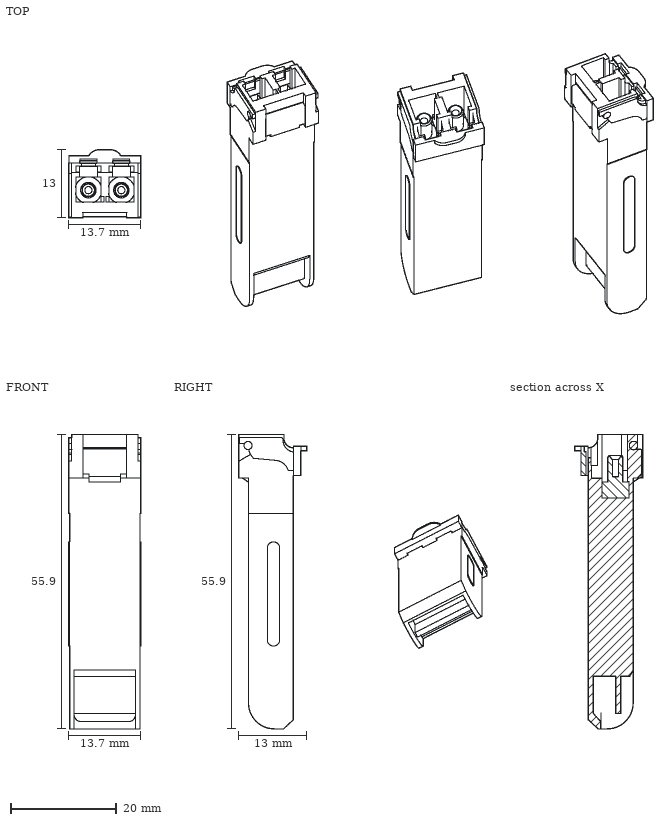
import cadquery as cq
import math


HEIGHT = 55.9
HEAD_WIDTH = 13.7
SHELL_WIDTH = 13.4
FRONT_Y = 1.83
BACK_Y = 10.38
HEAD_BOTTOM_Z = 47.6
NECK_BOTTOM_Z = 40.9
TOE_RADIUS = 4.95
HEEL_CHAMFER_Y = 1.88
HEEL_CHAMFER_Z = 1.75

SHOULDER_Y = 8.6
SHOULDER_START_Z = 55.15

PAD_WIDTH = 2.36
PAD_Y = 6.6
PAD_BOTTOM_Z = 15.75
PAD_TOP_Z = 35.5

PLUG_WIDTH = 11.7
PLUG_TOP_Z = 11.2
PLUG_SLOPE_END_Y = 2.5
PLUG_SLOPE_Z = 10.0
PLUG_FLOOR_Y = 4.2
PLUG_FLOOR_THICKNESS = 1.0
PLUG_FLOOR_END_Z = 2.9
CARD_WALL_Y = 8.0
CARD_BACK_Y = 9.4
CARD_LIP_Z = 1.45
CARD_STEP_Y = 9.0
CARD_STEP_Z = 2.48
CARD_LIP_TOP_Z = 3.0
CARD_LIP_CORNER = 1.1

POCKET_WIDTH = 8.3
POCKET_Y = 1.0
GAP_Y = 1.3
GAP_BOTTOM_Z = 53.1
GAP_TOP_Z = 53.36
PLATE_FRONT_Y = 0.2
PLATE_ROUND = 0.35
PLATE_SLOPE_TOP_Z = 48.4
TOOTH_WIDTH = 6.0
TOOTH_SLOPE_TOP_Z = 47.9
TOOTH_BOTTOM_Z = 46.85

PORT_PITCH = 6.25
PORT_SIZE = 4.75
PORT_Y = 5.35
PORT_DEPTH = 9.0
KEY_WIDTH = 0.55
KEY_HEIGHT = 1.1
KEY_FLOOR_Z = 49.0
CATCH_WIDTH = 3.4
CATCH_Y = 9.76
CATCH_FLOOR_Z = 47.6
EXIT_WIDTH = 2.65
EXIT_FLOOR_Z = 51.5
RELIEF_START_Y = 8.65
RELIEF_END_Y = 9.85
RELIEF_FLOOR_Z = 50.0

ARM_THICKNESS = 0.55
ARM_TOP_Z = 55.3
ARM_FRONT_Y = 0.17
ARM_HOOK_Z = 54.2
ARM_END_Z = 49.06
ARM_UPPER_BACK_Z = 52.55
ARM_SCOOP_MID = (8.85, 53.45)
ARM_SCOOP_END = (8.4, 54.8)
ARM_CORNER_MID = (8.3, 55.15)
ARM_TOP_BACK_Y = 7.95
ARM_BELOW_PIN = (2.06, 52.4)
ARM_NOSE = (2.77, 51.35)
ARM_UNDERSIDE_FRONT = (3.95, 51.25)
ARM_UNDERSIDE_BACK = (6.98, 50.97)
ARM_SWEEP_MID = (8.5, 50.38)
ARM_SWEEP_END = (9.26, 49.37)
ARM_HEEL_Y = 9.43
RAMP_START = (2.26, 52.1)
RAMP_END_Z = 50.8
BRIDGE_WIDTH = 13.66
BRIDGE_BACK_Y = 11.8
BRIDGE_BOTTOM_Z = 48.05
BRIDGE_TOP_Z = 53.65
BRIDGE_NOTCH_WIDTH = 3.2
BRIDGE_NOTCH_DEPTH = 0.4
BRIDGE_LEDGE_DEPTH = 0.75
BRIDGE_LEDGE_Z = 52.6
TAB_BACK_Y = 12.95
TAB_HALF_WIDTH = 3.05
TAB_FLAT_HALF_WIDTH = 1.0
TAB_THICKNESS = 0.9

PIN_RADIUS = 0.76
PIN_Y = 1.77
PIN_Z = 53.78

OPTIC_RADIUS = 2.54
OPTIC_Y = 5.24
OPTIC_BASE_HEIGHT = 3.0
SLEEVE_RADIUS = 1.47
SLEEVE_HEIGHT = 5.0
SLEEVE_CHAMFER_HEIGHT = 0.4
SLEEVE_CHAMFER_WIDTH = 0.22
BORE_RADIUS = 0.68
BORE_DEPTH = 4.0
COUNTERSINK_RADIUS = 1.15
COUNTERSINK_DEPTH = 0.8

PORT_FLOOR_Z = HEIGHT - PORT_DEPTH
HEAD_HALF = HEAD_WIDTH / 2
ARM_INNER_X = HEAD_HALF - ARM_THICKNESS
PORT_CENTERS = (-PORT_PITCH / 2, PORT_PITCH / 2)


def block(x_range, y_range, z_range):
    """Box between the given limits along each axis."""
    size = [high - low for low, high in (x_range, y_range, z_range)]
    corner = (x_range[0], y_range[0], z_range[0])
    return cq.Workplane("XY").box(*size, centered=False).translate(corner)


def centered_block(width, y_range, z_range, x=0.0):
    """Box of the given width centered on x."""
    return block((x - width / 2, x + width / 2), y_range, z_range)


def side_profile(x_start):
    """Workplane across X whose local axes are Y and Z."""
    return cq.Workplane("YZ", origin=(x_start, 0, 0))


def extruded(points, width):
    """Closed (Y, Z) polygon extruded symmetrically over a width."""
    return side_profile(-width / 2).polyline(points).close().extrude(width)


def arm_lower_edge(sketch):
    """Continue a sketch from under the pin along the lower edge of a latch arm to the back."""
    return (
        sketch.lineTo(*ARM_BELOW_PIN)
        .lineTo(*ARM_NOSE)
        .lineTo(*ARM_UNDERSIDE_FRONT)
        .lineTo(*ARM_UNDERSIDE_BACK)
        .threePointArc(ARM_SWEEP_MID, ARM_SWEEP_END)
        .lineTo(ARM_HEEL_Y, ARM_END_Z)
        .lineTo(BACK_Y, ARM_END_Z)
    )


def shell():
    """Long lower shell with a rounded toe and a chamfered heel."""
    toe_mid = TOE_RADIUS * (1 - math.sqrt(0.5))
    return (
        side_profile(-SHELL_WIDTH / 2)
        .moveTo(FRONT_Y, HEAD_BOTTOM_Z)
        .lineTo(FRONT_Y, TOE_RADIUS)
        .threePointArc((FRONT_Y + toe_mid, toe_mid), (FRONT_Y + TOE_RADIUS, 0))
        .lineTo(BACK_Y - HEEL_CHAMFER_Y, 0)
        .lineTo(BACK_Y, HEEL_CHAMFER_Z)
        .lineTo(BACK_Y, HEAD_BOTTOM_Z)
        .close()
        .extrude(SHELL_WIDTH)
    )


def head():
    """Wide neck and head with the overhanging front and the concave shoulder."""
    radius = BACK_Y - SHOULDER_Y
    diagonal = radius * math.sqrt(0.5)
    shoulder_mid = (BACK_Y - diagonal, SHOULDER_START_Z - diagonal)
    return (
        side_profile(-HEAD_HALF)
        .moveTo(FRONT_Y, NECK_BOTTOM_Z)
        .lineTo(FRONT_Y, HEAD_BOTTOM_Z)
        .lineTo(0, HEAD_BOTTOM_Z)
        .lineTo(0, HEIGHT)
        .lineTo(SHOULDER_Y, HEIGHT)
        .lineTo(SHOULDER_Y, SHOULDER_START_Z)
        .threePointArc(shoulder_mid, (BACK_Y, SHOULDER_START_Z - radius))
        .lineTo(BACK_Y, NECK_BOTTOM_Z)
        .close()
        .extrude(HEAD_WIDTH)
    )


def guide_pads():
    """Rounded pads that bring the shell sides out to the head width."""
    length = PAD_TOP_Z - PAD_BOTTOM_Z
    return (
        side_profile(-HEAD_HALF)
        .center(PAD_Y, (PAD_TOP_Z + PAD_BOTTOM_Z) / 2)
        .slot2D(length, PAD_WIDTH, 90)
        .extrude(HEAD_WIDTH)
    )


def plug_opening():
    """Front opening down to the plug floor, open at the bottom, with a sloped top."""
    floor_back_y = PLUG_FLOOR_Y + PLUG_FLOOR_THICKNESS
    return extruded(
        [
            (FRONT_Y, 0),
            (FRONT_Y, PLUG_TOP_Z),
            (PLUG_SLOPE_END_Y, PLUG_SLOPE_Z),
            (PLUG_FLOOR_Y, PLUG_SLOPE_Z),
            (PLUG_FLOOR_Y, PLUG_FLOOR_END_Z),
            (floor_back_y, PLUG_FLOOR_END_Z),
            (floor_back_y, PLUG_SLOPE_Z),
            (CARD_WALL_Y, PLUG_SLOPE_Z),
            (CARD_WALL_Y, 0),
        ],
        PLUG_WIDTH,
    )


def card_recess():
    """Recess in the back wall with a two-stage sloped lip, rounded where the lip meets the sides."""
    recess = extruded(
        [
            (CARD_WALL_Y, PLUG_SLOPE_Z),
            (CARD_WALL_Y, CARD_LIP_Z),
            (CARD_STEP_Y, CARD_STEP_Z),
            (CARD_BACK_Y, CARD_LIP_TOP_Z),
            (CARD_BACK_Y, PLUG_SLOPE_Z),
        ],
        PLUG_WIDTH,
    )
    return recess.faces("<X or >X").edges("not(|Y or |Z)").fillet(CARD_LIP_CORNER)


def latch_pocket():
    """Front pocket of the head, open at the top, around the raised plate."""
    upper = centered_block(POCKET_WIDTH, (0, POCKET_Y), (GAP_TOP_Z, HEIGHT))
    gap = centered_block(POCKET_WIDTH, (0, GAP_Y), (GAP_BOTTOM_Z, GAP_TOP_Z))
    round_offset = PLATE_ROUND * (1 - math.sqrt(0.5))
    front = (
        side_profile(-POCKET_WIDTH / 2)
        .moveTo(0, HEAD_BOTTOM_Z)
        .lineTo(0, GAP_BOTTOM_Z)
        .lineTo(PLATE_FRONT_Y + PLATE_ROUND, GAP_BOTTOM_Z)
        .threePointArc(
            (PLATE_FRONT_Y + round_offset, GAP_BOTTOM_Z - round_offset),
            (PLATE_FRONT_Y, GAP_BOTTOM_Z - PLATE_ROUND),
        )
        .lineTo(PLATE_FRONT_Y, PLATE_SLOPE_TOP_Z)
        .lineTo(POCKET_Y, HEAD_BOTTOM_Z)
        .close()
        .extrude(POCKET_WIDTH)
    )
    return upper.union(gap).union(front)


def tooth():
    """Wedge at the lower end of the plate, running down onto the shell front."""
    return extruded(
        [
            (PLATE_FRONT_Y, PLATE_SLOPE_TOP_Z),
            (PLATE_FRONT_Y, TOOTH_SLOPE_TOP_Z),
            (FRONT_Y, TOOTH_BOTTOM_Z),
            (FRONT_Y, PLATE_SLOPE_TOP_Z),
        ],
        TOOTH_WIDTH,
    )


def arm_recesses():
    """Shallow cuts in both head sides that take the latch arms, open to the top."""
    sketch = side_profile(-HEAD_HALF).moveTo(0, RAMP_END_Z).lineTo(*RAMP_START)
    profile = arm_lower_edge(sketch).lineTo(BACK_Y, HEIGHT).lineTo(0, HEIGHT).close()
    middle = centered_block(2 * ARM_INNER_X, (0, BACK_Y), (0, HEIGHT))
    return profile.extrude(HEAD_WIDTH).cut(middle)


def port(x):
    """Square port with key slot, catch channel, catch exit and relief for the plug's clip."""
    low_y = PORT_Y - PORT_SIZE / 2
    high_y = PORT_Y + PORT_SIZE / 2
    to_floor = (PORT_FLOOR_Z, HEIGHT)
    key_x = x - math.copysign((PORT_SIZE + KEY_WIDTH) / 2, x)
    socket = centered_block(PORT_SIZE, (low_y, high_y), to_floor, x)
    key = centered_block(KEY_WIDTH, (low_y, low_y + KEY_HEIGHT), (KEY_FLOOR_Z, HEIGHT), key_x)
    catch = centered_block(CATCH_WIDTH, (high_y, CATCH_Y), (CATCH_FLOOR_Z, HEIGHT), x)
    clip_exit = centered_block(EXIT_WIDTH, (CATCH_Y, BACK_Y), (EXIT_FLOOR_Z, HEIGHT), x)
    relief = centered_block(PORT_SIZE, (RELIEF_START_Y, RELIEF_END_Y), (RELIEF_FLOOR_Z, HEIGHT), x)
    return socket.union(key).union(catch).union(clip_exit).union(relief)


def optic_seat(x):
    """Round hole under a port floor that holds an optical subassembly."""
    seat = cq.Workplane("XY", origin=(x, OPTIC_Y, PORT_FLOOR_Z))
    return seat.circle(OPTIC_RADIUS).extrude(-OPTIC_BASE_HEIGHT)


def make_pin():
    """Straight pivot pin across the full head width."""
    return side_profile(-HEAD_HALF).center(PIN_Y, PIN_Z).circle(PIN_RADIUS).extrude(HEAD_WIDTH)


def make_housing():
    body = shell().union(head()).union(guide_pads())
    body = body.cut(plug_opening()).cut(card_recess())
    body = body.cut(latch_pocket()).union(tooth())
    body = body.cut(arm_recesses()).cut(make_pin())
    for x in PORT_CENTERS:
        body = body.cut(port(x)).cut(optic_seat(x))
    return body


def latch_arms():
    """Both side arms, which hook over the pin ends and fill the recesses of the head."""
    top_edge = (
        side_profile(-HEAD_HALF)
        .moveTo(BACK_Y, ARM_UPPER_BACK_Z)
        .threePointArc(ARM_SCOOP_MID, ARM_SCOOP_END)
        .threePointArc(ARM_CORNER_MID, (ARM_TOP_BACK_Y, ARM_TOP_Z))
        .lineTo(ARM_FRONT_Y, ARM_TOP_Z)
        .lineTo(ARM_FRONT_Y, ARM_HOOK_Z)
        .lineTo(PIN_Y, ARM_HOOK_Z)
        .lineTo(PIN_Y, PIN_Z)
    )
    arms = arm_lower_edge(top_edge).close().extrude(HEAD_WIDTH)
    return arms.cut(centered_block(2 * ARM_INNER_X, (0, BACK_Y), (0, HEIGHT))).cut(make_pin())


def latch_bridge():
    """Plate across the back of the head, notched in two steps behind each port."""
    bridge = centered_block(BRIDGE_WIDTH, (BACK_Y, BRIDGE_BACK_Y), (BRIDGE_BOTTOM_Z, BRIDGE_TOP_Z))
    notch_steps = (
        (BRIDGE_NOTCH_DEPTH, BRIDGE_BOTTOM_Z),
        (BRIDGE_LEDGE_DEPTH, BRIDGE_LEDGE_Z),
    )
    for x in PORT_CENTERS:
        for depth, floor_z in notch_steps:
            notch_y = (BACK_Y, BACK_Y + depth)
            notch_z = (floor_z, BRIDGE_TOP_Z)
            bridge = bridge.cut(centered_block(BRIDGE_NOTCH_WIDTH, notch_y, notch_z, x))
    return bridge


def finger_tab():
    """Thin tab behind the bridge, with a flat end between two tangent arcs."""
    run = TAB_HALF_WIDTH - TAB_FLAT_HALF_WIDTH
    reach = TAB_BACK_Y - BRIDGE_BACK_Y
    radius = (run**2 + reach**2) / (2 * reach)
    half_angle = math.asin(run / radius) / 2
    mid_x = TAB_FLAT_HALF_WIDTH + radius * math.sin(half_angle)
    mid_y = TAB_BACK_Y - radius * (1 - math.cos(half_angle))
    return (
        cq.Workplane("XY", origin=(0, 0, BRIDGE_TOP_Z - TAB_THICKNESS))
        .moveTo(-TAB_HALF_WIDTH, BRIDGE_BACK_Y)
        .threePointArc((-mid_x, mid_y), (-TAB_FLAT_HALF_WIDTH, TAB_BACK_Y))
        .lineTo(TAB_FLAT_HALF_WIDTH, TAB_BACK_Y)
        .threePointArc((mid_x, mid_y), (TAB_HALF_WIDTH, BRIDGE_BACK_Y))
        .close()
        .extrude(TAB_THICKNESS)
    )


def make_latch():
    return latch_bridge().union(latch_arms()).union(finger_tab())


def make_optic(x):
    """Round base flush with the port floor, carrying a countersunk sleeve with a chamfered rim."""
    rim_z = PORT_FLOOR_Z + SLEEVE_HEIGHT
    sleeve = (
        cq.Workplane("XY", origin=(x, OPTIC_Y, PORT_FLOOR_Z))
        .circle(SLEEVE_RADIUS)
        .extrude(SLEEVE_HEIGHT)
        .faces(">Z")
        .chamfer(SLEEVE_CHAMFER_HEIGHT, SLEEVE_CHAMFER_WIDTH)
    )
    bore = cq.Workplane("XY", origin=(x, OPTIC_Y, rim_z)).circle(BORE_RADIUS).extrude(-BORE_DEPTH)
    countersink = cq.Solid.makeCone(
        BORE_RADIUS,
        COUNTERSINK_RADIUS,
        COUNTERSINK_DEPTH,
        pnt=cq.Vector(x, OPTIC_Y, rim_z - COUNTERSINK_DEPTH),
    )
    return optic_seat(x).union(sleeve).cut(bore).cut(cq.Workplane(countersink))


housing = make_housing()
latch = make_latch()
pin = make_pin()
optics = [make_optic(x) for x in PORT_CENTERS]

result = cq.Compound.makeCompound(
    [housing.val(), latch.val(), pin.val(), *[optic.val() for optic in optics]]
)